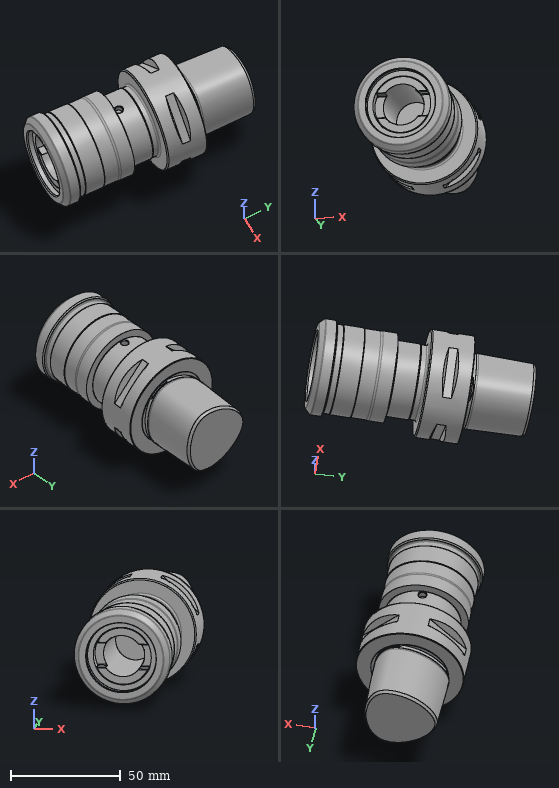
import cadquery as cq
import math

FRONT_END = -71.2
REAR_END = 30.0

FLANGE_RADIUS = 25.0
FLANGE_FRONT = -20.2
FLANGE_FRONT_CHAMFER = 0.6
FLANGE_REAR_CHAMFER = 0.3
COLLAR_RADIUS = 18.0
COLLAR_HEIGHT = 0.3

NECK_RADIUS = 17.3
NECK_FILLET = 0.9
NECK_FRONT = -23.6
NOSE_RADIUS = 17.6
NOSE_REAR = -24.1
NOSE_FRONT = -34.4
NOSE_CHAMFER = 0.5

SLEEVE_RADIUS = 20.8
SLEEVE_RELIEF_RADIUS = 20.6
SLEEVE_REAR = -35.0
REAR_BAND_FRONT = -41.9
REAR_BAND_TAPER = 1.1
MIDDLE_BAND_REAR = -50.5
MIDDLE_BAND_FRONT = -59.9
MIDDLE_BAND_TAPER = 0.3

HEAD_RADIUS = 22.3
HEAD_REAR = -63.1
HEAD_REAR_CHAMFER = 0.6
HEAD_REAR_FILLET = 0.3
HEAD_FRONT_CHAMFER = 2.5
HEAD_EDGE_ROUNDING = 0.5

MOUTH_RADIUS = 16.1
MOUTH_CHAMFER = 0.3
MOUTH_CHAMFER_DEPTH = 0.7
MOUTH_DEPTH = 3.0
BORE_RADIUS = 9.6
BORE_FLOOR_RADIUS = 8.9
BORE_DEPTH = 30.4
DRIVE_SLOT_RADIUS = 13.5
DRIVE_SLOT_WIDTH = 11.2
DRIVE_SLOT_DEPTH = 4.4
DRIVE_SLOT_CHAMFER = 0.4
GAP_INNER_RADIUS = 13.2

SHANK_MEAN_RADIUS = 17.5
SHANK_LOBE_HEIGHT = 1.1
SHANK_TAPER = 1 / 40
SHANK_RELIEF = 0.1
SHANK_LAND_START = 2.1
SHANK_TAPER_START = 3.0
SHANK_CHAMFER_LENGTH = 1.3
SHANK_CHAMFER_DROP = 0.9
SHANK_CURVE_POINTS = 120
LOBE_TURN_RADIUS = 17.8
LOBE_TURN_CONE = 1.0

GROOVE_COUNT = 4
GROOVE_FLOOR_DISTANCE = 22.0
GROOVE_FLOOR_WIDTH = 4.0
GROOVE_REAR_FLARE = 1.2
GROOVE_FRONT_FLARE = 1.4
GROOVE_CENTRE = -10.0

HOLE_RADIUS = 1.7
HOLE_CHAMFER = 0.4
HOLE_DEPTH = 3.0
HOLE_CENTRE = -32.4


def revolve_about_y(profile):
    return profile.close().revolve(360, (0, 0, 0), (0, 1, 0))


def turned_body():
    return revolve_about_y(
        cq.Workplane("XY")
        .moveTo(0, FRONT_END)
        .lineTo(HEAD_RADIUS - HEAD_FRONT_CHAMFER, FRONT_END)
        .lineTo(HEAD_RADIUS, FRONT_END + HEAD_FRONT_CHAMFER)
        .lineTo(HEAD_RADIUS, HEAD_REAR - HEAD_REAR_CHAMFER)
        .lineTo(HEAD_RADIUS - HEAD_REAR_CHAMFER, HEAD_REAR)
        .lineTo(SLEEVE_RELIEF_RADIUS + HEAD_REAR_FILLET, HEAD_REAR)
        .tangentArcPoint((SLEEVE_RELIEF_RADIUS, HEAD_REAR + HEAD_REAR_FILLET), relative=False)
        .lineTo(SLEEVE_RELIEF_RADIUS, MIDDLE_BAND_FRONT - MIDDLE_BAND_TAPER)
        .lineTo(SLEEVE_RADIUS, MIDDLE_BAND_FRONT)
        .lineTo(SLEEVE_RADIUS, MIDDLE_BAND_REAR)
        .lineTo(SLEEVE_RELIEF_RADIUS, MIDDLE_BAND_REAR + MIDDLE_BAND_TAPER)
        .lineTo(SLEEVE_RELIEF_RADIUS, REAR_BAND_FRONT - REAR_BAND_TAPER)
        .lineTo(SLEEVE_RADIUS, REAR_BAND_FRONT)
        .lineTo(SLEEVE_RADIUS, SLEEVE_REAR)
        .lineTo(NOSE_RADIUS - NOSE_CHAMFER, SLEEVE_REAR)
        .lineTo(NOSE_RADIUS - NOSE_CHAMFER, NOSE_FRONT - NOSE_CHAMFER)
        .lineTo(NOSE_RADIUS, NOSE_FRONT)
        .lineTo(NOSE_RADIUS, NOSE_REAR)
        .lineTo(NECK_RADIUS, NECK_FRONT)
        .lineTo(NECK_RADIUS, FLANGE_FRONT - NECK_FILLET)
        .tangentArcPoint((NECK_RADIUS + NECK_FILLET, FLANGE_FRONT), relative=False)
        .lineTo(FLANGE_RADIUS - FLANGE_FRONT_CHAMFER, FLANGE_FRONT)
        .lineTo(FLANGE_RADIUS, FLANGE_FRONT + FLANGE_FRONT_CHAMFER)
        .lineTo(FLANGE_RADIUS, -FLANGE_REAR_CHAMFER)
        .lineTo(FLANGE_RADIUS - FLANGE_REAR_CHAMFER, 0)
        .lineTo(COLLAR_RADIUS, 0)
        .lineTo(COLLAR_RADIUS, COLLAR_HEIGHT)
        .lineTo(0, COLLAR_HEIGHT)
    )


def round_head_edges(body):
    """Round both rims of the chamfer at the front end."""
    reach = HEAD_FRONT_CHAMFER + HEAD_EDGE_ROUNDING
    front_zone = cq.selectors.BoxSelector(
        (-HEAD_RADIUS, FRONT_END - reach, -HEAD_RADIUS),
        (HEAD_RADIUS, FRONT_END + reach, HEAD_RADIUS),
    )
    return body.edges("%CIRCLE").edges(front_zone).fillet(HEAD_EDGE_ROUNDING)


def lobed_wire(mean_radius, y):
    """Three-lobed curve of constant width with one lobe on -X."""

    def point(turn):
        angle = 2 * math.pi * turn
        reach = mean_radius - SHANK_LOBE_HEIGHT * math.cos(3 * angle)
        slope = 3 * SHANK_LOBE_HEIGHT * math.sin(3 * angle)
        return (
            reach * math.cos(angle) - slope * math.sin(angle),
            reach * math.sin(angle) + slope * math.cos(angle),
        )

    section = cq.Workplane("XZ", origin=(0, y, 0)).parametricCurve(point, N=SHANK_CURVE_POINTS)
    return section.val()


def lobed_solid(start, start_radius, end, end_radius):
    wires = [lobed_wire(start_radius, start), lobed_wire(end_radius, end)]
    return cq.Workplane(cq.Solid.makeLoft(wires, True))


def lobe_turning():
    """Turned relief that cuts the lobes back to a cylinder next to the flange."""
    outside = FLANGE_RADIUS
    straight_end = SHANK_LAND_START - LOBE_TURN_CONE
    return revolve_about_y(
        cq.Workplane("XY")
        .moveTo(LOBE_TURN_RADIUS, 0)
        .lineTo(LOBE_TURN_RADIUS, straight_end)
        .lineTo(LOBE_TURN_RADIUS + LOBE_TURN_CONE, SHANK_LAND_START)
        .lineTo(outside, SHANK_LAND_START)
        .lineTo(outside, 0)
    )


def shank():
    neck_radius = SHANK_MEAN_RADIUS - SHANK_RELIEF
    chamfer_start = REAR_END - SHANK_CHAMFER_LENGTH
    tip_radius = SHANK_MEAN_RADIUS - SHANK_TAPER * (chamfer_start - SHANK_TAPER_START)
    neck = lobed_solid(0, neck_radius, SHANK_LAND_START, neck_radius).cut(lobe_turning())
    land = lobed_solid(SHANK_LAND_START, SHANK_MEAN_RADIUS, SHANK_TAPER_START, SHANK_MEAN_RADIUS)
    taper = lobed_solid(SHANK_TAPER_START, SHANK_MEAN_RADIUS, chamfer_start, tip_radius)
    tip = lobed_solid(chamfer_start, tip_radius, REAR_END, tip_radius - SHANK_CHAMFER_DROP)
    return neck.union(land).union(taper).union(tip)


def gripper_grooves():
    """Flat-bottomed grooves with sloping sides, evenly spaced between the X and Z axes."""
    half_floor = GROOVE_FLOOR_WIDTH / 2
    groove = (
        cq.Workplane("XY")
        .moveTo(GROOVE_FLOOR_DISTANCE, GROOVE_CENTRE - half_floor)
        .lineTo(FLANGE_RADIUS, GROOVE_CENTRE - half_floor - GROOVE_FRONT_FLARE)
        .lineTo(FLANGE_RADIUS, GROOVE_CENTRE + half_floor + GROOVE_REAR_FLARE)
        .lineTo(GROOVE_FLOOR_DISTANCE, GROOVE_CENTRE + half_floor)
        .close()
        .extrude(FLANGE_RADIUS, both=True)
    )
    spacing = 360 / GROOVE_COUNT
    grooves = cq.Workplane("XY")
    for index in range(GROOVE_COUNT):
        grooves = grooves.add(groove.rotate((0, 0, 0), (0, 1, 0), spacing * (index + 0.5)))
    return grooves.combine()


def socket():
    floor = FRONT_END + MOUTH_DEPTH
    return revolve_about_y(
        cq.Workplane("XY")
        .moveTo(0, FRONT_END)
        .lineTo(MOUTH_RADIUS + MOUTH_CHAMFER, FRONT_END)
        .lineTo(MOUTH_RADIUS, FRONT_END + MOUTH_CHAMFER_DEPTH)
        .lineTo(MOUTH_RADIUS, floor)
        .lineTo(BORE_RADIUS, floor)
        .lineTo(BORE_FLOOR_RADIUS, floor + BORE_DEPTH)
        .lineTo(0, floor + BORE_DEPTH)
    )


def drive_slot():
    """Slot across the bore with chamfers at its mouth and floor, and round ends."""
    top = FRONT_END + MOUTH_DEPTH
    bottom = top + DRIVE_SLOT_DEPTH
    half_width = DRIVE_SLOT_WIDTH / 2
    half_mouth = half_width + DRIVE_SLOT_CHAMFER
    half_floor = half_width - DRIVE_SLOT_CHAMFER
    slot = (
        cq.Workplane("YZ")
        .moveTo(top, -half_mouth)
        .lineTo(top + DRIVE_SLOT_CHAMFER, -half_width)
        .lineTo(bottom - DRIVE_SLOT_CHAMFER, -half_width)
        .lineTo(bottom, -half_floor)
        .lineTo(bottom, half_floor)
        .lineTo(bottom - DRIVE_SLOT_CHAMFER, half_width)
        .lineTo(top + DRIVE_SLOT_CHAMFER, half_width)
        .lineTo(top, half_mouth)
        .close()
        .extrude(DRIVE_SLOT_RADIUS, both=True)
    )
    limit = cq.Workplane("XZ", origin=(0, top, 0)).circle(DRIVE_SLOT_RADIUS).extrude(-DRIVE_SLOT_DEPTH)
    return slot.intersect(limit)


def spindle_gap():
    """Narrow ring-shaped gap around the face that carries the drive slot."""
    return (
        cq.Workplane("XZ", origin=(0, FRONT_END + MOUTH_DEPTH, 0))
        .circle(DRIVE_SLOT_RADIUS)
        .circle(GAP_INNER_RADIUS)
        .extrude(-DRIVE_SLOT_DEPTH)
    )


def radial_hole():
    hole = (
        cq.Workplane("XY", origin=(0, HOLE_CENTRE, NOSE_RADIUS))
        .circle(HOLE_RADIUS)
        .extrude(-HOLE_DEPTH)
    )
    countersink = cq.Solid.makeCone(
        HOLE_RADIUS + HOLE_CHAMFER,
        HOLE_RADIUS,
        HOLE_CHAMFER,
        pnt=cq.Vector(0, HOLE_CENTRE, NOSE_RADIUS),
        dir=cq.Vector(0, 0, -1),
    )
    return hole.union(cq.Workplane(countersink))


result = (
    round_head_edges(turned_body())
    .union(shank())
    .cut(gripper_grooves())
    .cut(socket())
    .cut(drive_slot())
    .cut(spindle_gap())
    .cut(radial_hole())
)